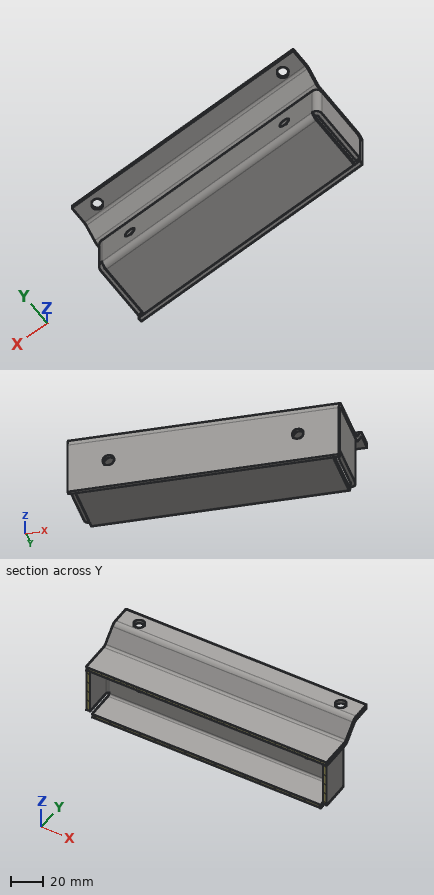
import cadquery as cq
import math

LENGTH = 173.0
DEPTH = 70.0
HEIGHT = 50.9

SHEET = 3.0
INNER_BEND = 3.0
OUTER_BEND = INNER_BEND + SHEET
SHELF_TOP = 40.0
REAR_FLAT = 12.5
JOG_ANGLE = math.radians(45)

TRAY_BACK = 45.3
TRAY_SHEET = 3.0
TRAY_INNER_BEND = 1.4
TRAY_OUTER_BEND = TRAY_INNER_BEND + TRAY_SHEET
END_FLANGE_BOTTOM = TRAY_OUTER_BEND
BOTTOM_FLANGE_INSET = TRAY_OUTER_BEND

HOLE_DIAMETER = 7.3
FRONT_HOLE_INSET = 26.1
FRONT_HOLE_HEIGHT = 19.0
REAR_HOLE_INSET = 14.0
REAR_HOLE_FROM_BACK = 7.6


def hole_pair(plane, inset, height, depth):
    """Two round cutters, mirrored about X = 0, starting on the given plane."""
    x = LENGTH / 2 - inset
    points = [(-x, height), (x, height)]
    return cq.Workplane(plane).pushPoints(points).circle(HOLE_DIAMETER / 2).extrude(depth)


def front_holes():
    """Cutters through the front wall of the bracket and the rear wall of the tray."""
    return hole_pair("XZ", FRONT_HOLE_INSET, FRONT_HOLE_HEIGHT, -DEPTH)


def rear_holes():
    """Cutters through the raised rear flange."""
    return hole_pair("XY", REAR_HOLE_INSET, DEPTH - REAR_HOLE_FROM_BACK, HEIGHT)


def bend_point(center, radius, angle):
    """Point in the YZ profile on a bend around center; the angle is counted from +Y."""
    return (center[0] + radius * math.cos(angle), center[1] + radius * math.sin(angle))


def make_bracket():
    quarter = math.pi / 2
    front_center = (OUTER_BEND, SHELF_TOP - OUTER_BEND)
    upper_center = (DEPTH - REAR_FLAT, HEIGHT - OUTER_BEND)

    rise = HEIGHT - SHELF_TOP
    bend_sum = OUTER_BEND + INNER_BEND
    slope_length = (rise - bend_sum * (1 - math.cos(JOG_ANGLE))) / math.sin(JOG_ANGLE)
    run = bend_sum * math.sin(JOG_ANGLE) + slope_length * math.cos(JOG_ANGLE)
    lower_center = (upper_center[0] - run, SHELF_TOP + INNER_BEND)

    upper_end = quarter + JOG_ANGLE
    lower_end = -quarter + JOG_ANGLE
    upper_middle = quarter + JOG_ANGLE / 2
    lower_middle = -quarter + JOG_ANGLE / 2
    front_middle = quarter + math.pi / 4

    profile = (
        cq.Workplane("YZ", origin=(-LENGTH / 2, 0, 0))
        .moveTo(0, 0)
        .lineTo(0, front_center[1])
        .threePointArc(
            bend_point(front_center, OUTER_BEND, front_middle),
            (front_center[0], SHELF_TOP),
        )
        .lineTo(lower_center[0], SHELF_TOP)
        .threePointArc(
            bend_point(lower_center, INNER_BEND, lower_middle),
            bend_point(lower_center, INNER_BEND, lower_end),
        )
        .lineTo(*bend_point(upper_center, OUTER_BEND, upper_end))
        .threePointArc(
            bend_point(upper_center, OUTER_BEND, upper_middle),
            (upper_center[0], HEIGHT),
        )
        .lineTo(DEPTH, HEIGHT)
        .lineTo(DEPTH, HEIGHT - SHEET)
        .lineTo(upper_center[0], HEIGHT - SHEET)
        .threePointArc(
            bend_point(upper_center, INNER_BEND, upper_middle),
            bend_point(upper_center, INNER_BEND, upper_end),
        )
        .lineTo(*bend_point(lower_center, OUTER_BEND, lower_end))
        .threePointArc(
            bend_point(lower_center, OUTER_BEND, lower_middle),
            (lower_center[0], SHELF_TOP - SHEET),
        )
        .lineTo(front_center[0], SHELF_TOP - SHEET)
        .threePointArc(
            bend_point(front_center, INNER_BEND, front_middle),
            (SHEET, front_center[1]),
        )
        .lineTo(SHEET, 0)
        .close()
    )
    return profile.extrude(LENGTH).cut(front_holes()).cut(rear_holes())


def make_tray():
    half_width = LENGTH / 2
    flange_length = TRAY_BACK - SHEET
    tray_top = SHELF_TOP - SHEET

    wall_height = tray_top - END_FLANGE_BOTTOM
    outer = (
        cq.Workplane("XY", origin=(0, SHEET + flange_length / 2, END_FLANGE_BOTTOM))
        .rect(2 * half_width, flange_length)
        .extrude(wall_height)
        .edges("|Z and >Y")
        .fillet(TRAY_OUTER_BEND)
    )
    inner_depth = flange_length - TRAY_SHEET
    inner = (
        cq.Workplane("XY", origin=(0, SHEET + inner_depth / 2, END_FLANGE_BOTTOM))
        .rect(2 * (half_width - TRAY_SHEET), inner_depth)
        .extrude(wall_height)
        .edges("|Z and >Y")
        .fillet(TRAY_INNER_BEND)
    )

    flange_width = 2 * (half_width - BOTTOM_FLANGE_INSET)
    bottom_flange = (
        cq.Workplane("YZ", origin=(-flange_width / 2, 0, 0))
        .moveTo(SHEET, 0)
        .lineTo(TRAY_BACK - TRAY_OUTER_BEND, 0)
        .radiusArc((TRAY_BACK, TRAY_OUTER_BEND), -TRAY_OUTER_BEND)
        .lineTo(TRAY_BACK, tray_top)
        .lineTo(TRAY_BACK - TRAY_SHEET, tray_top)
        .lineTo(TRAY_BACK - TRAY_SHEET, TRAY_OUTER_BEND)
        .radiusArc((TRAY_BACK - TRAY_OUTER_BEND, TRAY_SHEET), TRAY_INNER_BEND)
        .lineTo(SHEET, TRAY_SHEET)
        .close()
        .extrude(flange_width)
    )
    return outer.cut(inner).union(bottom_flange).cut(front_holes())


bracket = make_bracket()
tray = make_tray()
tray = tray.cut(bracket)

result = cq.Compound.makeCompound([bracket.val(), tray.val()])